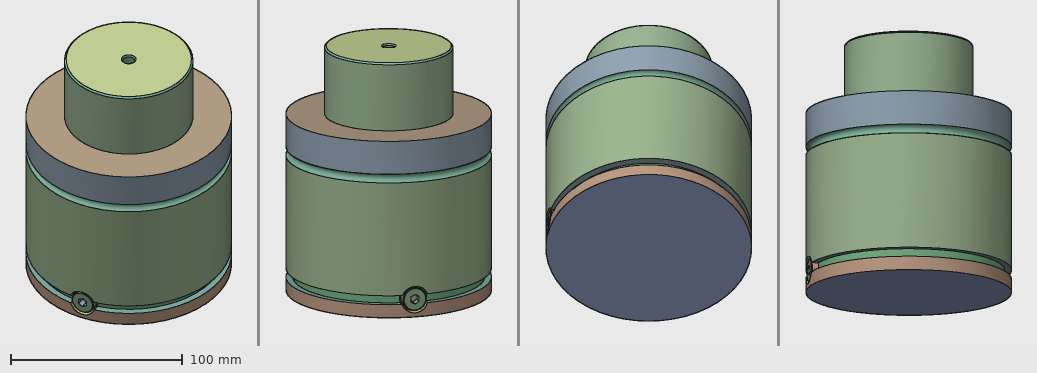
import cadquery as cq
import math

body_diameter = 120.0
body_height = 107.0
rod_diameter = 75.0
total_height = 148.0
rod_chamfer = 1.0

base_groove_bottom = 8.0
base_groove_width = 5.4
base_groove_depth = 4.0

upper_groove_radius = 2.6
upper_groove_center = 84.4

tap_drill_diameter = 6.8
tap_countersink_diameter = 8.5
tap_depth = 20.0
drill_point_angle = 118.0

port_diameter = 16.0
port_depth = 6.0
port_height = 10.55
plug_diameter = 14.0
plug_chamfer = 0.5
plug_recess = 0.6
socket_across_flats = 5.0
socket_depth = 5.0

body_radius = body_diameter / 2
port_floor = body_radius - port_depth


def make_body():
    """Stepped cylinder: body with a chamfered rod on top."""
    body = cq.Workplane("XY").circle(body_radius).extrude(body_height)
    rod = cq.Workplane("XY").circle(rod_diameter / 2).extrude(total_height)
    return body.union(rod.faces(">Z").chamfer(rod_chamfer))


def base_groove_cutter():
    """Ring that cuts the square groove."""
    return (
        cq.Workplane("XY", origin=(0, 0, base_groove_bottom))
        .circle(body_radius + base_groove_depth)
        .circle(body_radius - base_groove_depth)
        .extrude(base_groove_width)
    )


def upper_groove_cutter():
    """Torus centred on the body surface that cuts the round groove."""
    return (
        cq.Workplane("XZ")
        .center(body_radius, upper_groove_center)
        .circle(upper_groove_radius)
        .revolve(360, (-body_radius, 0), (-body_radius, 1))
    )


def tapped_hole_cutter():
    """Countersunk blind hole with a conical drill point, on the Z axis."""
    drill_radius = tap_drill_diameter / 2
    sink_radius = tap_countersink_diameter / 2
    sink_depth = sink_radius - drill_radius
    point_length = drill_radius / math.tan(math.radians(drill_point_angle / 2))
    hole_bottom = total_height - tap_depth
    return (
        cq.Workplane("XZ")
        .moveTo(0, total_height)
        .lineTo(sink_radius, total_height)
        .lineTo(drill_radius, total_height - sink_depth)
        .lineTo(drill_radius, hole_bottom)
        .lineTo(0, hole_bottom - point_length)
        .close()
        .revolve(360, (0, 0), (0, 1))
    )


def port_plane(distance):
    """Workplane facing -Y, at the given distance from the body axis, centred on the port."""
    return cq.Workplane("XZ", origin=(0, -distance, port_height))


def port_cutter():
    """Cylinder that cuts the port from its floor out past the body surface."""
    return port_plane(port_floor).circle(port_diameter / 2).extrude(2 * port_depth)


def make_plug():
    """Chamfered round plug with a hexagon socket, two corners pointing up and down."""
    plug_face = body_radius - plug_recess
    socket_across_corners = socket_across_flats / math.cos(math.pi / 6)
    plug = port_plane(port_floor).circle(plug_diameter / 2).extrude(plug_face - port_floor)
    plug = plug.faces("<Y").chamfer(plug_chamfer)
    socket = (
        port_plane(plug_face - socket_depth)
        .transformed(rotate=(0, 0, 90))
        .polygon(6, socket_across_corners)
        .extrude(socket_depth)
    )
    return plug.cut(socket)


result = (
    make_body()
    .cut(base_groove_cutter())
    .cut(upper_groove_cutter())
    .cut(tapped_hole_cutter())
    .cut(port_cutter())
    .union(make_plug())
)